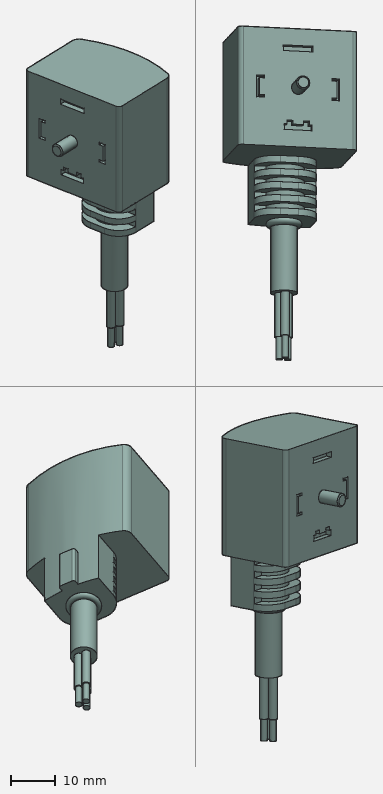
import cadquery as cq
import math


HOUSING_WIDTH = 27.0
HOUSING_HEIGHT = 27.0
FACE_Y = -15.05
BACK_Y = 6.0
BACK_RADIUS = 33.1
FRONT_EDGE_RADIUS = 1.0
BACK_EDGE_RADIUS = 2.0

PIN_DIAMETER = 3.0
PIN_LENGTH = 5.5
PIN_CHAMFER = 0.3

MARK_DEPTH = 1.45
MARK_THICKNESS = 1.3
MARK_REACH = 9.65
TOP_BAR_LENGTH = 6.7
BOTTOM_BAR_LENGTH = 6.3
TOOTH_WIDTH = 1.3
TOOTH_HEIGHT = 0.9
TOOTH_OFFSET = 1.9
BRACKET_REACH = 9.4
BRACKET_HEIGHT = 5.0
BRACKET_DEPTH = 1.7
BRACKET_STROKE = 0.6

RELIEF_WIDTH = 14.05
RELIEF_HEIGHT = 13.5
RELIEF_FRONT_Y = -6.05
RELIEF_CORNER_RADIUS = 5.0
GROOVE_COUNT = 4
GROOVE_END_Y = -1.3
CORE_DIAMETER = 9.1

RIB_WIDTH = 4.1
RIB_BACK_Y = 7.5
RIB_TOP_DROP = 3.45
RIB_EDGE_RADIUS = 0.6

COLLAR_DIAMETER = 8.0
COLLAR_HEIGHT = 1.5
CABLE_DIAMETER = 6.0
CABLE_LENGTH = 15.0
WIRE_DIAMETER = 2.0
WIRE_LENGTH = 10.0
CONDUCTOR_DIAMETER = 1.5
CONDUCTOR_LENGTH = 5.05
WIRE_PAIR_SPACING = 1.95
WIRE_PAIR_Y = 0.6
SINGLE_WIRE_Y = -1.2


def back_y(x):
    """Y of the curved back at a given X."""
    return BACK_Y - BACK_RADIUS + math.sqrt(BACK_RADIUS**2 - x**2)


def curved_back_block(width, front_y, bottom_z, height):
    """Upright block with a flat front and the shared curved back."""
    half = width / 2
    return (
        cq.Workplane("XY", origin=(0, 0, bottom_z))
        .moveTo(-half, front_y)
        .lineTo(half, front_y)
        .lineTo(half, back_y(half))
        .threePointArc((0, BACK_Y), (-half, back_y(half)))
        .close()
        .extrude(height)
    )


def make_housing():
    block = curved_back_block(HOUSING_WIDTH, FACE_Y, 0, HOUSING_HEIGHT)
    block = block.edges("|Z and <Y").fillet(FRONT_EDGE_RADIUS)
    back_corners = cq.selectors.BoxSelector(
        (-HOUSING_WIDTH, 0, -0.7), (HOUSING_WIDTH, BACK_Y, HOUSING_HEIGHT + 0.7)
    )
    return block.edges("|Z").edges(back_corners).fillet(BACK_EDGE_RADIUS)


def make_pin():
    return (
        cq.Workplane("XZ", origin=(0, FACE_Y, HOUSING_HEIGHT / 2))
        .circle(PIN_DIAMETER / 2)
        .extrude(PIN_LENGTH)
        .faces("<Y")
        .chamfer(PIN_CHAMFER)
    )


def face_recess(width, height, x, z):
    """Rectangular recess cutter centred at (x, z), measured from the middle of the contact face."""
    return (
        cq.Workplane("XZ", origin=(x, FACE_Y, HOUSING_HEIGHT / 2 + z))
        .rect(width, height)
        .extrude(-MARK_DEPTH)
    )


def make_terminal_marks():
    bar_z = MARK_REACH - MARK_THICKNESS / 2
    marks = face_recess(TOP_BAR_LENGTH, MARK_THICKNESS, 0, bar_z)
    marks = marks.union(face_recess(BOTTOM_BAR_LENGTH, MARK_THICKNESS, 0, -bar_z))
    tooth_z = -MARK_REACH + MARK_THICKNESS + TOOTH_HEIGHT / 2
    arm_z = (BRACKET_HEIGHT - BRACKET_STROKE) / 2
    for side in (-1, 1):
        marks = marks.union(face_recess(TOOTH_WIDTH, TOOTH_HEIGHT, side * TOOTH_OFFSET, tooth_z))
        spine_x = side * (BRACKET_REACH - BRACKET_STROKE / 2)
        marks = marks.union(face_recess(BRACKET_STROKE, BRACKET_HEIGHT, spine_x, 0))
        arm_x = side * (BRACKET_REACH - BRACKET_DEPTH / 2)
        for end in (-1, 1):
            marks = marks.union(face_recess(BRACKET_DEPTH, BRACKET_STROKE, arm_x, end * arm_z))
    return marks


def make_strain_relief():
    relief = curved_back_block(RELIEF_WIDTH, RELIEF_FRONT_Y, -RELIEF_HEIGHT, RELIEF_HEIGHT)
    relief = relief.edges("|Z and <Y").fillet(RELIEF_CORNER_RADIUS)
    band = RELIEF_HEIGHT / (2 * GROOVE_COUNT + 1)
    groove_depth = GROOVE_END_Y - RELIEF_FRONT_Y
    for index in range(GROOVE_COUNT):
        groove_bottom = -RELIEF_HEIGHT + (2 * index + 1) * band
        level = cq.Workplane("XY", origin=(0, 0, groove_bottom))
        slot = level.center(0, GROOVE_END_Y - groove_depth / 2).rect(RELIEF_WIDTH, groove_depth).extrude(band)
        core = level.circle(CORE_DIAMETER / 2).extrude(band)
        relief = relief.cut(slot.cut(core))
    return relief


def make_rib():
    return (
        cq.Workplane("XY", origin=(0, RIB_BACK_Y / 2, -RELIEF_HEIGHT))
        .rect(RIB_WIDTH, RIB_BACK_Y)
        .extrude(RELIEF_HEIGHT - RIB_TOP_DROP)
        .edges("|Z and >Y")
        .fillet(RIB_EDGE_RADIUS)
    )


def hanging_cylinder(diameter, top_z, length, x=0, y=0):
    """Round bar that runs down from top_z."""
    return cq.Workplane("XY", origin=(x, y, top_z)).circle(diameter / 2).extrude(-length)


def make_collar():
    """Disc whose rim is a full half round."""
    rim_radius = COLLAR_HEIGHT / 2
    straight = COLLAR_DIAMETER / 2 - rim_radius
    bottom_z = -RELIEF_HEIGHT - COLLAR_HEIGHT
    return (
        cq.Workplane("XZ")
        .moveTo(0, bottom_z)
        .lineTo(straight, bottom_z)
        .threePointArc((COLLAR_DIAMETER / 2, bottom_z + rim_radius), (straight, -RELIEF_HEIGHT))
        .lineTo(0, -RELIEF_HEIGHT)
        .close()
        .revolve(360, (0, 0, 0), (0, 1, 0))
    )


def make_cable():
    sheath_length = COLLAR_HEIGHT + CABLE_LENGTH
    wire_top = -RELIEF_HEIGHT - sheath_length
    conductor_top = wire_top - WIRE_LENGTH
    wire_places = (
        (-WIRE_PAIR_SPACING / 2, WIRE_PAIR_Y),
        (WIRE_PAIR_SPACING / 2, WIRE_PAIR_Y),
        (0, SINGLE_WIRE_Y),
    )
    cable = hanging_cylinder(CABLE_DIAMETER, -RELIEF_HEIGHT, sheath_length).union(make_collar())
    for x, y in wire_places:
        cable = cable.union(hanging_cylinder(WIRE_DIAMETER, wire_top, WIRE_LENGTH, x, y))
        cable = cable.union(hanging_cylinder(CONDUCTOR_DIAMETER, conductor_top, CONDUCTOR_LENGTH, x, y))
    return cable


result = (
    make_housing()
    .cut(make_terminal_marks())
    .union(make_pin())
    .union(make_strain_relief())
    .union(make_rib())
    .union(make_cable())
)